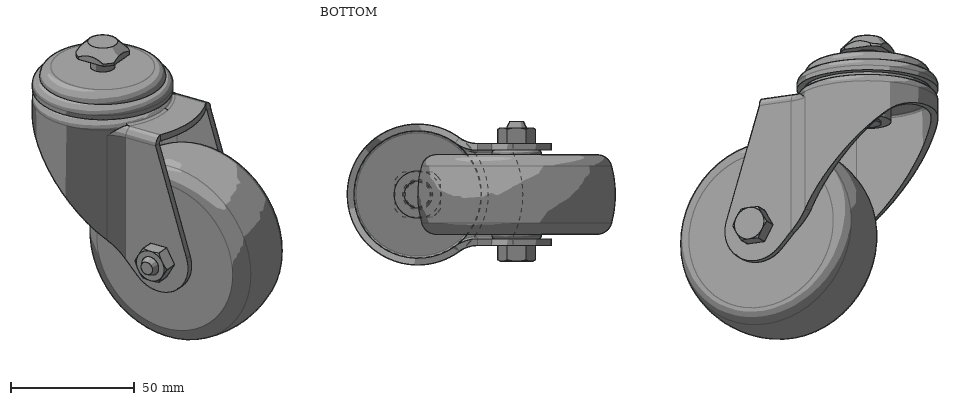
import cadquery as cq
import math


wheel_radius = 39.9
wheel_half_width = 16.1
tread_half_width = 11.5
tread_edge_radius = 38.4
side_face_radius = 32.5
axle_x = 39.9
axle_z = wheel_radius
hub_radius = 10.0
hub_fillet = 1.2

swivel_radius = 28.5
sheet = 2.7
bend_radius = 3.6
foot_fillet = 1.4
dome_top = 96.9
leg_outer_y = 20.6
fork_top = 94.5
blend_radius = 12.4
leg_top_x = 38.5
plate_end_x = 42.4
leg_end_radius = 14.0
leg_inner_y = leg_outer_y - sheet
bend_start_z = fork_top - bend_radius
bend_start_y = leg_outer_y - bend_radius

slope_top_x = -19.7
slope_top_z = 81.6
front_round_radius = 20.3
edge_steps = 48
trim_margin = 1.2

neck_radius = 25.6
cap_bottom = 97.9
cap_flange_top = 103.4
cap_top = 107.8
cap_crown_fillet = 4.5
cap_crown_radius = 25.5

stem_radius = 5.0
head_top = 119.1
head_bottom = 113.3
head_top_radius = 6.1
head_corner_radius = 10.8
head_width = 18.2
stem_nut_radius = 9.5
stem_nut_bottom = 84.5
stem_tip_radius = 5.5
stem_tip_bottom = 83.6

hex_flats = 13.2
hex_outer_y = 26.9
hex_bevel_slope = math.tan(math.radians(30))
axle_radius = 4.0
axle_tip_y = -29.5
axle_tip_inset = 1.3


def cylinder_z(radius, bottom, top):
    return cq.Workplane("XY").workplane(offset=bottom).circle(radius).extrude(top - bottom)


def cylinder_y(radius, start, end):
    """Cylinder on the wheel axis between two Y positions."""
    plane = cq.Plane(origin=(axle_x, start, axle_z), xDir=(1, 0, 0), normal=(0, 1, 0))
    return cq.Workplane(plane).circle(radius).extrude(end - start)


blend_center_y = leg_outer_y + blend_radius
blend_center_x = math.sqrt((swivel_radius + blend_radius) ** 2 - blend_center_y ** 2)
blend_angle = math.atan2(blend_center_y, blend_center_x)


def bracket_shell(inset, rear_x):
    """Swivel dome blended into the fork channel, with every wall moved inwards by inset."""
    radius = swivel_radius - inset
    half_width = leg_outer_y - inset
    blend = blend_radius + inset
    edge_radius = bend_radius - inset
    tangent_x = radius * math.cos(blend_angle)
    tangent_y = radius * math.sin(blend_angle)

    dome = cylinder_z(radius, 0, dome_top - inset).faces(">Z").edges().fillet(edge_radius)
    channel = (
        cq.Workplane("XY")
        .moveTo(rear_x, half_width)
        .lineTo(blend_center_x, half_width)
        .radiusArc((tangent_x, tangent_y), blend)
        .lineTo(tangent_x, -tangent_y)
        .radiusArc((blend_center_x, -half_width), blend)
        .lineTo(rear_x, -half_width)
        .close()
        .extrude(fork_top - inset)
        .faces(">Z")
        .edges("not(<X or >X)")
        .fillet(edge_radius)
    )
    return dome.union(channel)


def tangent_point(x, z, side):
    """Point where the line from (x, z) touches the leg end circle; side is +1 or -1."""
    dx = x - axle_x
    dz = z - axle_z
    angle = math.atan2(dz, dx) + side * math.acos(leg_end_radius / math.hypot(dx, dz))
    return (axle_x + leg_end_radius * math.cos(angle), axle_z + leg_end_radius * math.sin(angle))


rear_tangent = tangent_point(leg_top_x, bend_start_z, -1)
slope_end = tangent_point(slope_top_x, slope_top_z, 1)
slope = (slope_end[1] - slope_top_z) / (slope_end[0] - slope_top_x)


def lower_edge_height(x):
    """Height of the bracket's lower edge: a straight slope that rounds over at the front."""
    if x >= slope_top_x:
        return slope_top_z + slope * (x - slope_top_x)
    slope_angle = math.atan(-slope)
    center_x = slope_top_x - front_round_radius * math.sin(slope_angle)
    center_z = slope_top_z - front_round_radius * math.cos(slope_angle)
    return center_z + math.sqrt(front_round_radius ** 2 - (x - center_x) ** 2)


def wall_trim(center, wall_radius, near_radius, far_radius, start_angle, end_angle):
    """Everything below the lower edge of a curved wall, cut square to that wall."""
    near_points = []
    far_points = []
    for step in range(edge_steps + 1):
        angle = start_angle + (end_angle - start_angle) * step / edge_steps
        z = lower_edge_height(center[0] + wall_radius * math.cos(angle))
        for points, radius in ((near_points, near_radius), (far_points, far_radius)):
            x = center[0] + radius * math.cos(angle)
            y = center[1] + radius * math.sin(angle)
            points.append(cq.Vector(x, y, z))
    edge_face = cq.Face.makeRuledSurface(cq.Edge.makeSpline(near_points), cq.Edge.makeSpline(far_points))
    return cq.Solid.extrudeLinear(edge_face, cq.Vector(0, 0, -dome_top))


def wall_trims():
    """Trims for the swivel cylinder and for the corner blend on each side."""
    inner_radius = swivel_radius - sheet - trim_margin
    outer_radius = swivel_radius + trim_margin
    trims = [
        wall_trim((0, 0), swivel_radius, inner_radius, outer_radius, blend_angle, 2 * math.pi - blend_angle)
    ]
    blend_near = blend_radius - trim_margin
    blend_far = blend_radius + sheet + trim_margin
    for side in (1, -1):
        center = (blend_center_x, side * blend_center_y)
        start_angle = side * (blend_angle - math.pi)
        end_angle = -side * math.pi / 2
        trims.append(wall_trim(center, blend_radius, blend_near, blend_far, start_angle, end_angle))
    return trims


def bracket_side_block():
    """Side outline of the fork legs, left full height around the swivel cylinder."""
    outline = (
        cq.Workplane("XZ")
        .moveTo(-swivel_radius, dome_top)
        .lineTo(swivel_radius, dome_top)
        .lineTo(leg_top_x, fork_top)
        .lineTo(leg_top_x, bend_start_z)
        .lineTo(*rear_tangent)
        .threePointArc((axle_x, axle_z - leg_end_radius), slope_end)
        .lineTo(blend_center_x, lower_edge_height(blend_center_x))
        .lineTo(blend_center_x, 0)
        .lineTo(-swivel_radius, 0)
        .close()
    )
    return outline.extrude(swivel_radius, both=True)


def rear_plate():
    """Top plate of the fork with its rounded rear edge."""
    return (
        cq.Workplane("XY")
        .workplane(offset=fork_top - sheet)
        .moveTo(swivel_radius, -bend_start_y)
        .lineTo(leg_top_x, -bend_start_y)
        .threePointArc((plate_end_x, 0), (leg_top_x, bend_start_y))
        .lineTo(swivel_radius, bend_start_y)
        .close()
        .extrude(sheet)
    )


def dome_foot():
    """Concave fillet where the dome rises out of the fork's top plate."""
    round_center_r = swivel_radius - bend_radius
    round_center_z = dome_top - bend_radius
    foot_center_z = fork_top + foot_fillet
    reach = bend_radius + foot_fillet
    foot_r = round_center_r + math.sqrt(reach ** 2 - (foot_center_z - round_center_z) ** 2)
    share = bend_radius / reach
    touch_r = round_center_r + share * (foot_r - round_center_r)
    touch_z = round_center_z + share * (foot_center_z - round_center_z)
    ring = (
        cq.Workplane("XZ")
        .moveTo(round_center_r, fork_top)
        .lineTo(foot_r, fork_top)
        .radiusArc((touch_r, touch_z), foot_fillet)
        .lineTo(round_center_r, touch_z)
        .close()
        .revolve(360, (0, 0, 0), (0, 1, 0))
    )
    plate_zone = cq.Workplane("XY").box(
        2 * swivel_radius, 2 * bend_start_y, 2 * dome_top, centered=(False, True, True)
    )
    return ring.intersect(plate_zone)


def make_bracket():
    leg_rear_x = axle_x + leg_end_radius
    cavity_rear_x = leg_rear_x + sheet
    shell = bracket_shell(0, leg_rear_x).cut(bracket_shell(sheet, cavity_rear_x))
    bracket = shell.intersect(bracket_side_block())
    for trim in wall_trims():
        bracket = bracket.cut(cq.Workplane(trim))
    return bracket.union(rear_plate()).union(dome_foot())


def make_cap():
    neck = cylinder_z(neck_radius, dome_top - sheet, cap_bottom)
    flange = cylinder_z(swivel_radius, cap_bottom, cap_flange_top)
    flange = flange.faces(">Z").edges().fillet(bend_radius)
    round_start_z = cap_top - cap_crown_fillet
    crown = (
        cq.Workplane("XZ")
        .moveTo(0, cap_bottom)
        .lineTo(cap_crown_radius, cap_bottom)
        .lineTo(cap_crown_radius, round_start_z)
        .tangentArcPoint((cap_crown_radius - cap_crown_fillet, cap_top), relative=False)
        .lineTo(0, cap_top)
        .close()
        .revolve(360, (0, 0, 0), (0, 1, 0))
    )
    return neck.union(flange).union(crown)


def make_stem():
    bevel_height = head_corner_radius - head_top_radius
    head = (
        cylinder_z(head_corner_radius, head_bottom, head_top)
        .faces(">Z")
        .edges()
        .chamfer(bevel_height)
        .intersect(cq.Workplane("XY").box(head_width, head_width, 2 * head_top))
    )
    shank = cylinder_z(stem_radius, stem_nut_bottom, head_bottom)
    nut = cylinder_z(stem_nut_radius, stem_nut_bottom, dome_top)
    tip = cylinder_z(stem_tip_radius, stem_tip_bottom, dome_top)
    return head.union(shank).union(nut).union(tip)


def make_wheel():
    """Wheel profile in (X, Y) at the axle height, revolved about the axle."""
    rim_x = axle_x + tread_edge_radius
    side_x = axle_x + side_face_radius
    wheel = (
        cq.Workplane("XY")
        .workplane(offset=axle_z)
        .moveTo(axle_x, -wheel_half_width)
        .lineTo(side_x, -wheel_half_width)
        .tangentArcPoint((rim_x, -tread_half_width), relative=False)
        .threePointArc((axle_x + wheel_radius, 0), (rim_x, tread_half_width))
        .tangentArcPoint((side_x, wheel_half_width), relative=False)
        .lineTo(axle_x, wheel_half_width)
        .close()
        .revolve(360, (axle_x, 0, 0), (axle_x, 1, 0))
    )
    hub = cylinder_y(hub_radius, -leg_inner_y, leg_inner_y).edges().fillet(hub_fillet)
    return wheel.union(hub)


def make_axle_bolt():
    hex_diameter = hex_flats / math.cos(math.pi / 6)
    bevel_radial = (hex_diameter - hex_flats) / 2
    hex_bar = (
        cq.Workplane("XZ", origin=(axle_x, 0, axle_z))
        .polygon(6, hex_diameter)
        .extrude(hex_outer_y, both=True)
    )
    bevel = (
        cylinder_y(hex_diameter / 2, -hex_outer_y, hex_outer_y)
        .edges()
        .chamfer(bevel_radial * hex_bevel_slope, bevel_radial)
    )
    between_legs = cylinder_y(hex_diameter, -leg_outer_y, leg_outer_y)
    axle = cylinder_y(axle_radius, axle_tip_y, hex_outer_y).faces("<Y").edges()
    axle = axle.chamfer(-axle_tip_y - hex_outer_y, axle_tip_inset)
    return hex_bar.intersect(bevel).cut(between_legs).union(axle)


result = make_bracket()
for component in (make_cap(), make_stem(), make_wheel(), make_axle_bolt()):
    result = result.union(component)